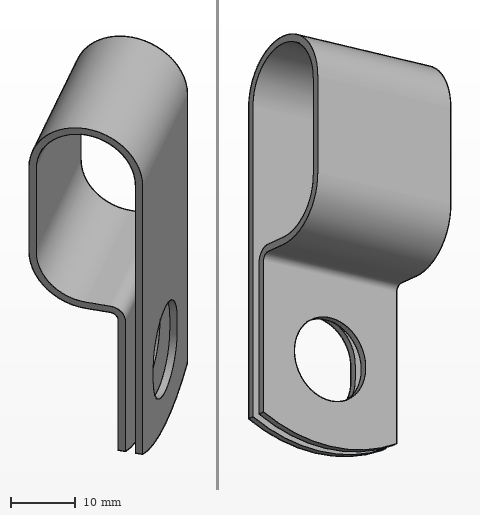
import cadquery as cq

height = 63.1
loop_width = 18.3
strap_width = 25.4
thickness = 1.2

loop_radius = loop_width / 2
loop_straight = 15.85
tab_gap = 1.6
bend_inner_radius = 1.2
end_sagitta = 3.0
hole_diameter = 13.6
hole_height = 14.25
slot_straight = 2.4

inner_radius = loop_radius - thickness
upper_center_z = height - loop_radius
lower_center_z = upper_center_z - loop_straight
floor_bottom = lower_center_z - loop_radius
floor_top = floor_bottom + thickness
tab_outer_x = inner_radius - tab_gap
tab_inner_x = tab_outer_x - thickness
gap_middle_x = tab_outer_x + tab_gap / 2
bend_x = tab_inner_x - bend_inner_radius
bend_z = floor_bottom - bend_inner_radius
bend_outer_radius = bend_inner_radius + thickness
diagonal = 0.5 ** 0.5


def bent_strap():
    """Strap section in the XZ plane, extruded symmetrically along Y."""
    return (
        cq.Workplane("XZ")
        .moveTo(loop_radius, 0)
        .lineTo(loop_radius, upper_center_z)
        .threePointArc((0, height), (-loop_radius, upper_center_z))
        .lineTo(-loop_radius, lower_center_z)
        .threePointArc(
            (-loop_radius * diagonal, lower_center_z - loop_radius * diagonal),
            (0, floor_bottom),
        )
        .lineTo(bend_x, floor_bottom)
        .threePointArc(
            (bend_x + bend_inner_radius * diagonal, bend_z + bend_inner_radius * diagonal),
            (tab_inner_x, bend_z),
        )
        .lineTo(tab_inner_x, 0)
        .lineTo(tab_outer_x, 0)
        .lineTo(tab_outer_x, bend_z)
        .threePointArc(
            (bend_x + bend_outer_radius * diagonal, bend_z + bend_outer_radius * diagonal),
            (bend_x, floor_top),
        )
        .lineTo(0, floor_top)
        .threePointArc(
            (-inner_radius * diagonal, lower_center_z - inner_radius * diagonal),
            (-inner_radius, lower_center_z),
        )
        .lineTo(-inner_radius, upper_center_z)
        .threePointArc((0, upper_center_z + inner_radius), (inner_radius, upper_center_z))
        .lineTo(inner_radius, 0)
        .close()
        .extrude(strap_width / 2, both=True)
    )


def strap_face():
    """Flat outline with a rounded lower end, extruded through the loop width."""
    half_width = strap_width / 2
    return (
        cq.Workplane("YZ")
        .moveTo(-half_width, height)
        .lineTo(-half_width, end_sagitta)
        .threePointArc((0, 0), (half_width, end_sagitta))
        .lineTo(half_width, height)
        .close()
        .extrude(loop_radius, both=True)
    )


def short_tab_hole():
    """Round cutter along X for the short tab, ending midway between the tabs."""
    return (
        cq.Workplane("YZ")
        .center(0, hole_height)
        .circle(hole_diameter / 2)
        .extrude(gap_middle_x)
    )


def long_tab_slot():
    """Upright rounded slot along X for the long tab, as wide as the round hole."""
    return (
        cq.Workplane("YZ", origin=(gap_middle_x, 0, 0))
        .center(0, hole_height)
        .slot2D(hole_diameter + slot_straight, hole_diameter, 90)
        .extrude(loop_radius - gap_middle_x)
    )


result = (
    bent_strap()
    .intersect(strap_face())
    .cut(short_tab_hole())
    .cut(long_tab_slot())
)